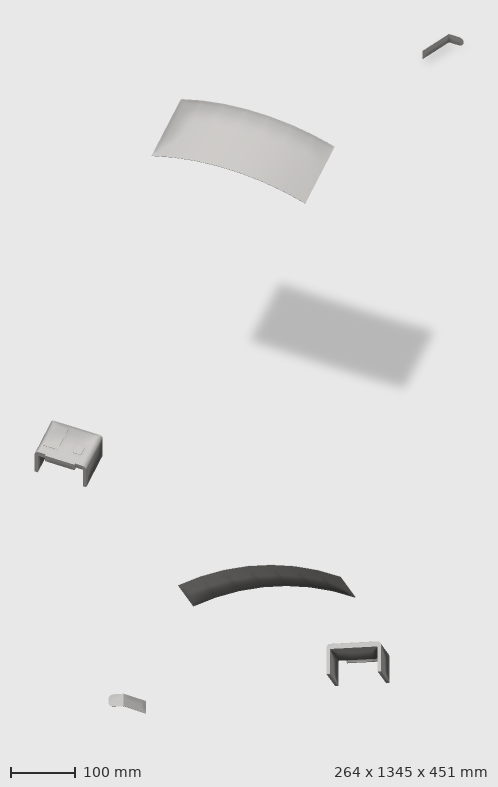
import cadquery as cq
import math

OVERALL_WIDTH = 264.0
OVERALL_LENGTH = 1345.0
OVERALL_HEIGHT = 451.0
RIGHT_X = OVERALL_WIDTH / 2
FRONT_Y = -OVERALL_LENGTH / 2
BACK_Y = OVERALL_LENGTH / 2
BOTTOM_Z = -OVERALL_HEIGHT / 2
TOP_Z = OVERALL_HEIGHT / 2

SHEET_SPAN = 257.0
CENTRE_X = -RIGHT_X + SHEET_SPAN / 2

BRACKET_WIDTH = 86.0
BRACKET_HEIGHT = 50.0
BRACKET_LENGTH = 69.0
BRACKET_WALL = 5.0
TOP_THICKNESS = 10.0
BRACKET_CORNER_RADIUS = 8.0
LIP_WIDTH = 50.0
LIP_HEIGHT = 13.0
LIP_PROJECTION = 3.0
BACK_STEP_LENGTH = 4.0
BACK_STEP_DEPTH = 1.0
BRACKET_FRONT_Y = FRONT_Y + LIP_PROJECTION
BRACKET_BACK_Y = BRACKET_FRONT_Y + BRACKET_LENGTH

INLAY_DEPTH = 4.0
INLAY_RISE = 0.7
LARGE_INLAY_WIDTH = 24.0
LARGE_INLAY_LENGTH = 45.0
LARGE_INLAY_X = CENTRE_X - 23.0
LARGE_INLAY_Y = BRACKET_BACK_Y - 31.0
SMALL_INLAY_WIDTH = 13.0
SMALL_INLAY_LENGTH = 16.0
SMALL_INLAY_X = CENTRE_X + 20.0
SMALL_INLAY_Y = BRACKET_BACK_Y - 42.0

SHEET_RISE = 25.0
SHEET_THICKNESS = 0.8
SHEET_LENGTH = 122.0
SHEET_BACK_Y = 153.0
SHEET_TOP_Z = 140.0

PLATE_HEIGHT = 20.0
PLATE_THICKNESS = 0.7
SHORT_LEAF_LENGTH = 24.0
LONG_LEAF_RUN_X = 25.0
LONG_LEAF_RUN_Y = 47.0
PLATE_CORNER_RADIUS = 8.0


def block(width, length, height, x, y, base_z):
    """A box centred on x and y that stands on base_z."""
    return cq.Workplane(cq.Plane((x, y, base_z))).box(width, length, height, centered=(True, True, False))


def make_inlay(width, length, x, y):
    """A rectangular inlay seated in the bracket's top face."""
    base_z = TOP_Z - INLAY_RISE - INLAY_DEPTH
    return block(width, length, INLAY_DEPTH + INLAY_RISE, x, y, base_z)


def make_bracket(inlays):
    top_z = TOP_Z - INLAY_RISE
    bottom_z = top_z - BRACKET_HEIGHT
    middle_y = (BRACKET_FRONT_Y + BRACKET_BACK_Y) / 2
    bracket = block(BRACKET_WIDTH, BRACKET_LENGTH, BRACKET_HEIGHT, CENTRE_X, middle_y, bottom_z)
    bracket = bracket.edges("|Y and >Z").fillet(BRACKET_CORNER_RADIUS)
    channel_width = BRACKET_WIDTH - 2 * BRACKET_WALL
    channel_height = BRACKET_HEIGHT - TOP_THICKNESS
    bracket = bracket.cut(block(channel_width, BRACKET_LENGTH, channel_height, CENTRE_X, middle_y, bottom_z))
    lip_y = BRACKET_FRONT_Y - LIP_PROJECTION / 2
    bracket = bracket.union(block(LIP_WIDTH, LIP_PROJECTION, LIP_HEIGHT, CENTRE_X, lip_y, top_z - LIP_HEIGHT))
    step_y = BRACKET_BACK_Y - BACK_STEP_LENGTH / 2
    step_z = top_z - BACK_STEP_DEPTH
    bracket = bracket.cut(block(BRACKET_WIDTH, BACK_STEP_LENGTH, BACK_STEP_DEPTH, CENTRE_X, step_y, step_z))
    for inlay in inlays:
        bracket = bracket.cut(inlay)
    return bracket


def make_arched_sheet():
    half_span = SHEET_SPAN / 2
    outer_radius = (half_span**2 + SHEET_RISE**2) / (2 * SHEET_RISE)
    inner_radius = outer_radius - SHEET_THICKNESS
    half_angle = math.asin(half_span / outer_radius)
    axis_z = SHEET_TOP_Z - outer_radius

    def arc_point(radius, angle):
        return (CENTRE_X + radius * math.sin(angle), axis_z + radius * math.cos(angle))

    return (
        cq.Workplane("XZ", origin=(0, SHEET_BACK_Y, 0))
        .moveTo(*arc_point(outer_radius, -half_angle))
        .threePointArc(arc_point(outer_radius, 0), arc_point(outer_radius, half_angle))
        .lineTo(*arc_point(inner_radius, half_angle))
        .threePointArc(arc_point(inner_radius, 0), arc_point(inner_radius, -half_angle))
        .close()
        .extrude(SHEET_LENGTH)
    )


def make_angled_plate():
    bend_x = RIGHT_X - SHORT_LEAF_LENGTH
    long_leaf_angle = math.atan2(LONG_LEAF_RUN_Y, LONG_LEAF_RUN_X)
    end_x = PLATE_THICKNESS * math.sin(long_leaf_angle)
    end_y = PLATE_THICKNESS * math.cos(long_leaf_angle)
    mitre_x = PLATE_THICKNESS * math.tan(long_leaf_angle / 2)
    tip_x = bend_x - LONG_LEAF_RUN_X
    tip_y = BACK_Y - LONG_LEAF_RUN_Y
    outline = [
        (tip_x, tip_y),
        (bend_x, BACK_Y),
        (RIGHT_X, BACK_Y),
        (RIGHT_X, BACK_Y - PLATE_THICKNESS),
        (bend_x + mitre_x, BACK_Y - PLATE_THICKNESS),
        (tip_x + end_x, tip_y - end_y),
    ]
    plate = cq.Workplane("XY", origin=(0, 0, BOTTOM_Z)).polyline(outline).close().extrude(PLATE_HEIGHT)
    return plate.edges("|Y and >X").fillet(PLATE_CORNER_RADIUS)


large_inlay = make_inlay(LARGE_INLAY_WIDTH, LARGE_INLAY_LENGTH, LARGE_INLAY_X, LARGE_INLAY_Y)
small_inlay = make_inlay(SMALL_INLAY_WIDTH, SMALL_INLAY_LENGTH, SMALL_INLAY_X, SMALL_INLAY_Y)
bracket = make_bracket([large_inlay, small_inlay])
arched_sheet = make_arched_sheet()
angled_plate = make_angled_plate()

result = cq.Compound.makeCompound(
    [bracket.val(), large_inlay.val(), small_inlay.val(), arched_sheet.val(), angled_plate.val()]
)